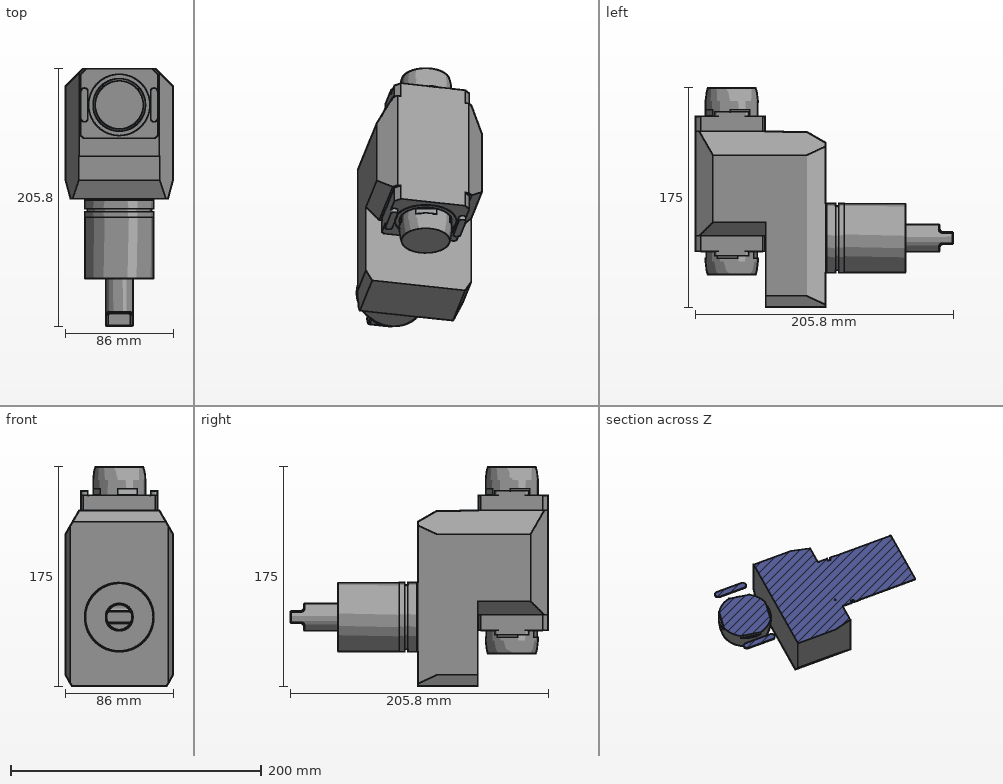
import cadquery as cq
import math


half_width = 43.0
bottom_z = -55.0
front_top_z = 84.9
rear_top_z = 85.3
step_y = 34.0
column_back_y = 48.0
back_y = 104.0
rear_bottom_z = 1.9
roof_side_z = 66.3
foot_bevel_height = 8.8
rear_foot_bevel = 10.8
slope = math.tan(math.radians(30))
nose_depth = 15.0
nose_side_inset = nose_depth * math.tan(math.radians(15))
nose_top_drop = nose_depth * slope
back_bevel = 14.0

shank_diameter = 54.99
collar_diameter = 55.39
groove_diameter = 51.5
relief_length = 1.0
groove_start = 8.0
groove_end = 10.3
collar_end = 14.9
shank_length = 64.0
shank_chamfer = 0.5

tail_diameter = 22.0
tail_end = 101.8
shoulder_end = 91.3
tang_thickness = 10.0
tang_root_radius = 2.0
tang_end_chamfer = 0.85
tang_rim_chamfer = 1.0
edge_margin = 0.1

plate_half_width = 30.6
plate_front_y = 48.4
plate_front_chamfer = 2.0
plate_back_chamfer = 4.4
top_plate_z = 97.2
bottom_plate_z = -10.5
pad_width = 5.6
pad_length = 27.0
pad_height = 3.6
port_y = 75.0
cap_diameter = 42.0
cap_top_diameter = 38.4
crown_height = 10.4
top_cap_height = 22.8
bottom_cap_height = 18.7
flat_distance = 19.3
flat_height = 5.0
flat_gap = 0.5
seat_diameter = 49.0
seat_height = 0.3
flat_count = 4
top_flat_angle = 20.0
bottom_flat_angle = -10.4


def front_profile(top_z, low_z, bevel_width, bevel_height, y_start, y_end):
    """Housing section in XZ, with sloped shoulders, run from y_start to y_end."""
    roof_half = half_width - (top_z - roof_side_z) * slope
    foot_half = half_width - bevel_width
    return (
        cq.Workplane("XZ", origin=(0, y_start, 0))
        .polyline([
            (-foot_half, low_z),
            (foot_half, low_z),
            (half_width, low_z + bevel_height),
            (half_width, roof_side_z),
            (roof_half, top_z),
            (-roof_half, top_z),
            (-half_width, roof_side_z),
            (-half_width, low_z + bevel_height),
        ])
        .close()
        .extrude(y_start - y_end)
    )


def housing():
    """Tall front column joined to a shorter, higher rear body, bevelled all round."""
    column = front_profile(
        front_top_z, bottom_z, foot_bevel_height * slope, foot_bevel_height, 0, column_back_y
    )
    rear = front_profile(
        rear_top_z, rear_bottom_z, rear_foot_bevel, rear_foot_bevel, step_y, back_y
    )
    plan = (
        cq.Workplane("XY", origin=(0, 0, bottom_z))
        .polyline([
            (-half_width + nose_side_inset, 0),
            (half_width - nose_side_inset, 0),
            (half_width, nose_depth),
            (half_width, back_y - back_bevel),
            (half_width - back_bevel, back_y),
            (-half_width + back_bevel, back_y),
            (-half_width, back_y - back_bevel),
            (-half_width, nose_depth),
        ])
        .close()
        .extrude(rear_top_z - bottom_z)
    )
    nose_cut = (
        cq.Workplane("YZ", origin=(-half_width, 0, 0))
        .polyline([
            (0, front_top_z - nose_top_drop),
            (nose_depth, front_top_z),
            (0, front_top_z),
        ])
        .close()
        .extrude(2 * half_width)
    )
    return column.union(rear).intersect(plan).cut(nose_cut)


def rod(diameter, start, end):
    """Round bar on the shank axis between two distances in front of the housing."""
    return cq.Workplane("XZ", origin=(0, -start, 0)).circle(diameter / 2).extrude(end - start)


def shank():
    """Shank with a slightly larger collar, relieved at the housing and grooved."""
    body = rod(shank_diameter, 0, shank_length).faces("<Y").chamfer(shank_chamfer)
    body = body.union(rod(collar_diameter, relief_length, collar_end))
    groove = rod(collar_diameter, groove_start, groove_end).cut(
        rod(groove_diameter, groove_start, groove_end)
    )
    return body.cut(groove)


def tail():
    """Round bar relieved above and below to leave a flat tang at its end."""
    half_thickness = tang_thickness / 2
    root_half = half_thickness + tang_root_radius
    root_y = -shoulder_end - tang_root_radius
    tail_radius = tail_diameter / 2
    relief = (
        cq.Workplane("YZ", origin=(-tail_radius, 0, 0))
        .moveTo(-tail_end, half_thickness)
        .lineTo(root_y, half_thickness)
        .radiusArc((-shoulder_end, root_half), -tang_root_radius)
        .lineTo(-shoulder_end, tail_radius)
        .lineTo(-tail_end, tail_radius)
        .close()
        .extrude(tail_diameter)
    )
    bar = rod(tail_diameter, shank_length, tail_end).cut(relief).cut(relief.mirror("XY"))
    cut_zone = cq.selectors.BoxSelector(
        (-tail_diameter, -tail_end - edge_margin, -tail_diameter),
        (tail_diameter, -shoulder_end + edge_margin, tail_diameter),
        boundingbox=True,
    )
    bar = bar.edges(cut_zone).edges("not <Y").edges("not |X").chamfer(tang_rim_chamfer)
    return bar.faces("<Y").chamfer(tang_end_chamfer)


def port_plate(base_z, face_z):
    """Plate between two heights, with two locking pads standing on its outer face."""
    direction = math.copysign(1, face_z - base_z)
    depth = back_y - plate_front_y
    thickness = abs(face_z - base_z)
    plate = (
        cq.Workplane("XY")
        .box(2 * plate_half_width, depth, thickness)
        .translate((0, (back_y + plate_front_y) / 2, (base_z + face_z) / 2))
    )
    plate = plate.edges("|Z and <Y").chamfer(plate_front_chamfer)
    plate = plate.edges("|Z and >Y").chamfer(plate_back_chamfer)
    pad_x = plate_half_width - pad_width / 2
    pads = (
        cq.Workplane("XY", origin=(0, port_y, face_z))
        .pushPoints([(-pad_x, 0), (pad_x, 0)])
        .slot2D(pad_length, pad_width, 90)
        .extrude(direction * pad_height)
    )
    return plate.union(pads)


def port_cap(height, first_flat_angle):
    """Crowned cap on a low seat standing on z = 0, with wrench flats around its foot."""
    radius = cap_diameter / 2
    crown_start = height - crown_height
    cap = (
        cq.Workplane("XZ")
        .lineTo(radius, 0)
        .lineTo(radius, crown_start)
        .tangentArcPoint((cap_top_diameter / 2, height), relative=False)
        .lineTo(0, height)
        .close()
        .revolve(360, (0, 0, 0), (0, 1, 0))
    )
    flat_cutter = cq.Workplane("XY").box(
        radius, cap_diameter, flat_height, centered=(False, True, False)
    ).translate((flat_distance, 0, flat_gap))
    for index in range(flat_count):
        angle = first_flat_angle + index * 360 / flat_count
        cap = cap.cut(flat_cutter.rotate((0, 0, 0), (0, 0, 1), angle))
    seat = cq.Workplane("XY").circle(seat_diameter / 2).extrude(seat_height)
    return cap.union(seat)


top_cap = port_cap(top_cap_height, top_flat_angle).translate((0, port_y, top_plate_z))
bottom_cap = (
    port_cap(bottom_cap_height, -bottom_flat_angle)
    .rotate((0, 0, 0), (1, 0, 0), 180)
    .translate((0, port_y, bottom_plate_z))
)

result = (
    housing()
    .union(shank())
    .union(tail())
    .union(port_plate(rear_top_z, top_plate_z))
    .union(port_plate(rear_bottom_z, bottom_plate_z))
    .union(top_cap)
    .union(bottom_cap)
)